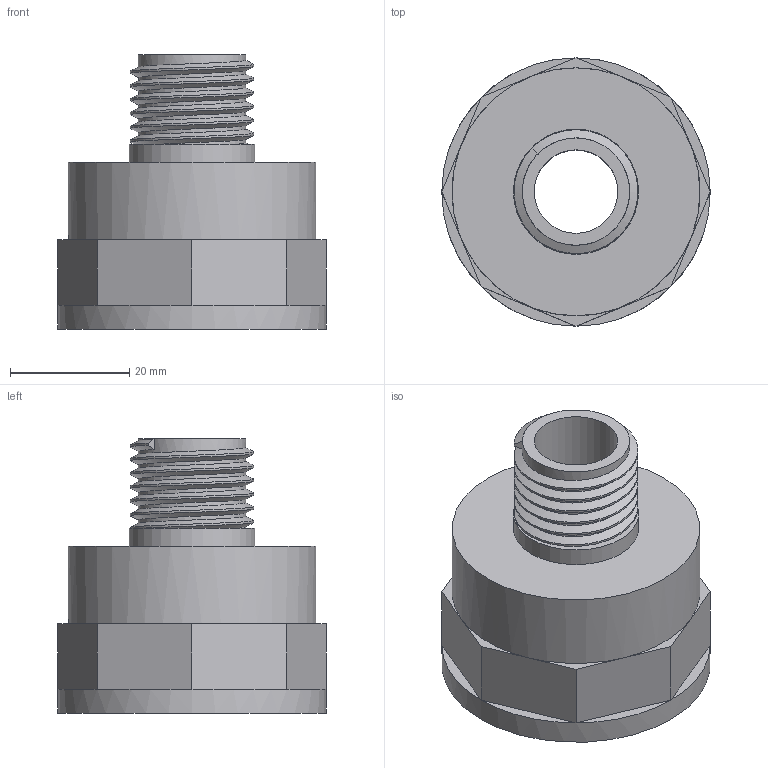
import cadquery as cq
import math

body_diameter = 45.0
flange_height = 4.0
octagon_sides = 8
octagon_height = 11.0
shoulder_height = 13.0
shoulder_diameter = body_diameter * math.cos(math.pi / octagon_sides)

collar_diameter = 21.0
collar_height = 3.0
core_diameter = 18.0
core_length = 15.0
bore_diameter = 14.0

thread_pitch = 25.4 / 11
thread_turns = 7
thread_crest_diameter = 20.75
thread_crest_width = 0.35
thread_flank_angle = 26.2
thread_overlap = 0.1
thread_end_angle = 135.0
thread_end_height = 45.11

octagon_base = flange_height
shoulder_base = octagon_base + octagon_height
collar_base = shoulder_base + shoulder_height
core_base = collar_base + collar_height
core_top = core_base + core_length


def cylinder(diameter, base, height):
    return cq.Workplane("XY").workplane(offset=base).circle(diameter / 2).extrude(height)


def octagon_band():
    """Wrench flats, with corners on the X and Y axes touching the flange diameter."""
    plane = cq.Workplane("XY").workplane(offset=octagon_base)
    return plane.polygon(octagon_sides, body_diameter).extrude(octagon_height)


def thread_ridge():
    """Trapezoidal ridge swept along a helix; its lower end is buried in the collar."""
    crest_radius = thread_crest_diameter / 2
    root_radius = core_diameter / 2 - thread_overlap
    crest_half = thread_crest_width / 2
    root_half = crest_half + (crest_radius - root_radius) * math.tan(math.radians(thread_flank_angle))
    thread_length = thread_turns * thread_pitch

    helix = cq.Workplane(obj=cq.Wire.makeHelix(thread_pitch, thread_length, root_radius))
    profile = cq.Workplane("XZ").polyline([
        (root_radius, -root_half),
        (crest_radius, -crest_half),
        (crest_radius, crest_half),
        (root_radius, root_half),
    ]).close()
    ridge = profile.sweep(helix, isFrenet=True)
    ridge = ridge.rotate((0, 0, 0), (0, 0, 1), thread_end_angle)
    return ridge.translate((0, 0, thread_end_height - thread_length))


flange = cylinder(body_diameter, 0, flange_height)
shoulder = cylinder(shoulder_diameter, shoulder_base, shoulder_height)
collar = cylinder(collar_diameter, collar_base, collar_height)
core = cylinder(core_diameter, core_base, core_length)
bore = cylinder(bore_diameter, 0, core_top)

spigot = collar.union(core).union(thread_ridge())
result = flange.union(octagon_band()).union(shoulder).union(spigot).cut(bore)